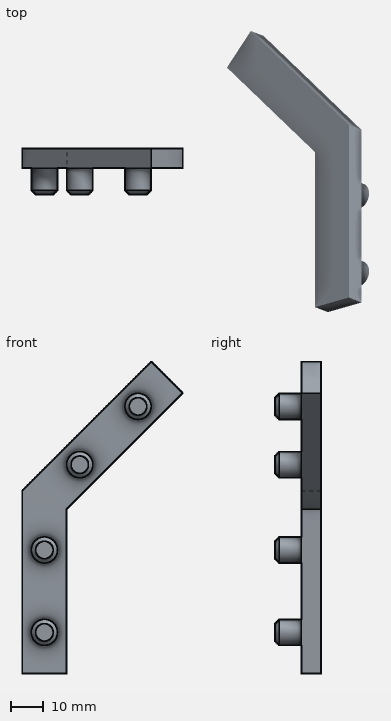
import cadquery as cq
import math

overall_height = 94.7
bend_angle = 45.0
plate_width = 13.55
plate_thickness = 6.0

pin_diameter = 8.0
pin_length = 8.1
pin_chamfer = 1.3
pin_end_distance = 12.5
pin_spacing = 25.0

along_x = math.sin(math.radians(bend_angle))
along_z = math.cos(math.radians(bend_angle))
across_x = along_z
across_z = -along_x

leg_length = overall_height / (1 + along_z)
inner_setback = plate_width * math.tan(math.radians(bend_angle / 2))

tip_x = leg_length * along_x
tip_z = leg_length + leg_length * along_z


def make_plate():
    """Bent plate with its front face on Y = 0 and its back toward +Y."""
    return (
        cq.Workplane("XZ")
        .polyline([
            (0, 0),
            (0, leg_length),
            (tip_x, tip_z),
            (tip_x + plate_width * across_x, tip_z + plate_width * across_z),
            (plate_width, leg_length - inner_setback),
            (plate_width, 0),
        ])
        .close()
        .extrude(-plate_thickness)
    )


def make_pin(x, z):
    """Round pin pointing toward -Y with a chamfered free end."""
    return (
        cq.Workplane("XZ")
        .center(x, z)
        .circle(pin_diameter / 2)
        .extrude(pin_length)
        .faces("<Y")
        .chamfer(pin_chamfer)
    )


def pin_centers():
    """Two centers on the midline of each leg, measured from its free end."""
    half_width = plate_width / 2
    centers = []
    for distance in (pin_end_distance, pin_end_distance + pin_spacing):
        centers.append((half_width, distance))
        centers.append((
            tip_x + half_width * across_x - distance * along_x,
            tip_z + half_width * across_z - distance * along_z,
        ))
    return centers


plate = make_plate()
pins = [make_pin(x, z) for x, z in pin_centers()]

result = cq.Compound.makeCompound([plate.val(), *[pin.val() for pin in pins]])